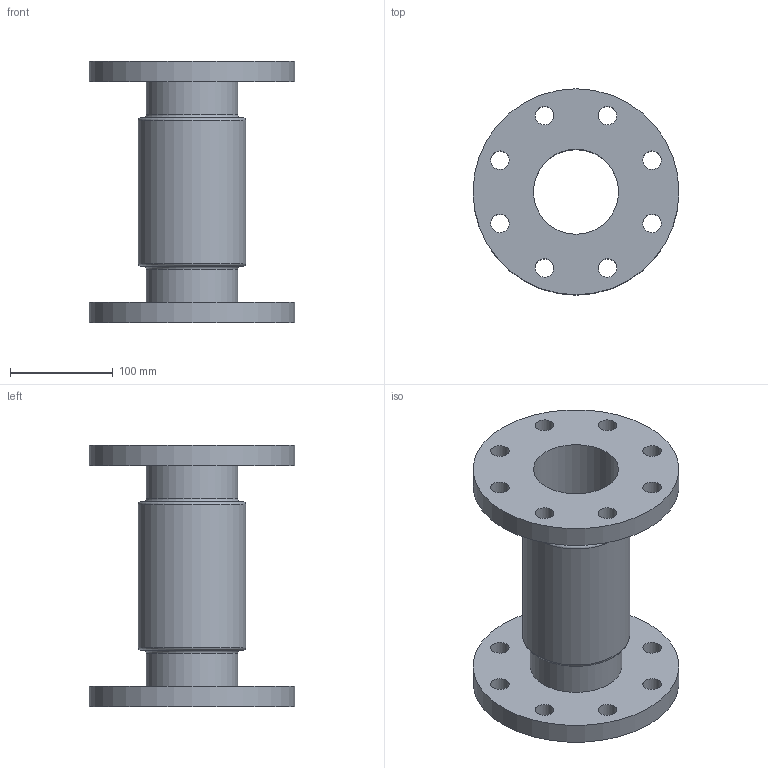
import cadquery as cq

total_length = 254.0

flange_diameter = 200.0
flange_thickness = 20.0
bolt_circle_diameter = 160.0
bolt_hole_diameter = 18.0
bolt_hole_count = 8

pipe_diameter = 88.9
pipe_wall = 3.2
bore_diameter = pipe_diameter - 2 * pipe_wall
body_diameter = 104.5
neck_length = 35.0
shoulder_fillet = 3.0

body_bottom = flange_thickness + neck_length
body_length = total_length - 2 * body_bottom
bolt_pitch_angle = 360.0 / bolt_hole_count


def cylinder(diameter, length, bottom=0.0):
    """Solid cylinder about the Z axis, standing on the height `bottom`."""
    return cq.Workplane("XY").workplane(offset=bottom).circle(diameter / 2).extrude(length)


def pipe_with_body():
    """Pipe with the thicker body, its shoulders rounded at the rim and at the root."""
    body = cylinder(body_diameter, body_length, body_bottom)
    pipe = cylinder(pipe_diameter, total_length).union(body)

    between_flanges = cq.selectors.BoxSelector(
        (-body_diameter, -body_diameter, flange_thickness),
        (body_diameter, body_diameter, total_length - flange_thickness),
    )
    return pipe.edges(between_flanges).edges("%CIRCLE").fillet(shoulder_fillet)


def flange(bottom):
    """Flange disc with its bolt holes straddling the X and Y axes."""
    holes = (
        cq.Workplane("XY")
        .workplane(offset=bottom)
        .polarArray(bolt_circle_diameter / 2, bolt_pitch_angle / 2, 360, bolt_hole_count)
        .circle(bolt_hole_diameter / 2)
        .extrude(flange_thickness)
    )
    return cylinder(flange_diameter, flange_thickness, bottom).cut(holes)


result = (
    pipe_with_body()
    .union(flange(0.0))
    .union(flange(total_length - flange_thickness))
    .cut(cylinder(bore_diameter, total_length))
)